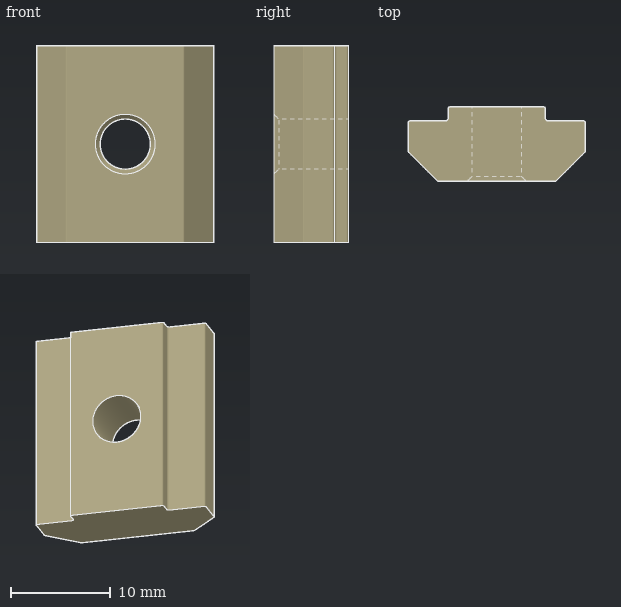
import cadquery as cq

length = 19.8
width = 17.8
depth = 7.5
tongue_width = 9.78
tongue_height = 1.4
bevel = 2.99
hole_diameter = 5.0
countersink_diameter = 6.0
countersink_angle = 90
outer_edge_radius = 0.2
root_radius = 0.25
bevel_edge_radius = 0.2

half_width = width / 2
half_tongue = tongue_width / 2
front = -depth / 2
back = depth / 2
shoulder = back - tongue_height


def edges_at(points):
    """Select the vertical edges that pass through the given XY points."""
    margin = 0.02
    selector = None
    for x, y in points:
        low_corner = (x - margin, y - margin, -length)
        high_corner = (x + margin, y + margin, length)
        box = cq.selectors.BoxSelector(low_corner, high_corner)
        selector = box if selector is None else selector + box
    return selector


def mirrored(x, y):
    """Return a profile point and its mirror image across the YZ plane."""
    return [(-x, y), (x, y)]


right_side = [
    (half_width - bevel, front),
    (half_width, front + bevel),
    (half_width, shoulder),
    (half_tongue, shoulder),
    (half_tongue, back),
]
left_side = [(-x, y) for x, y in reversed(right_side)]
body = cq.Workplane("XY").polyline(right_side + left_side).close().extrude(length / 2, both=True)

bevel_edges = mirrored(half_width - bevel, front) + mirrored(half_width, front + bevel)
body = body.edges(edges_at(bevel_edges)).fillet(bevel_edge_radius)
outer_edges = mirrored(half_width, shoulder) + mirrored(half_tongue, back)
body = body.edges(edges_at(outer_edges)).fillet(outer_edge_radius)
body = body.edges(edges_at(mirrored(half_tongue, shoulder))).fillet(root_radius)

result = (
    body.faces("<Y")
    .workplane(origin=(0, front, 0))
    .cskHole(hole_diameter, countersink_diameter, countersink_angle)
)